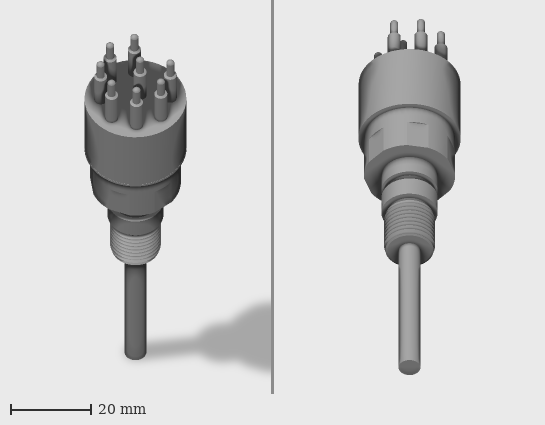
import cadquery as cq
import math

THREAD_END_Z = 40.0
LAST_CREST_Z = 40.2
FIRST_CREST_Z = 51.6
COLLAR_BOTTOM_Z = 52.8
GROOVE_BOTTOM_Z = 58.1
GROOVE_TOP_Z = 60.4
BODY_BOTTOM_Z = 65.4
FLATS_TOP_Z = 73.3
HEAD_BOTTOM_Z = 78.2
RIM_TOP_Z = 78.8
HEAD_TOP_Z = 96.9
PIN_SHOULDER_Z = 105.7
PIN_TIP_Z = 111.0

CABLE_DIAMETER = 5.4
THREAD_ROOT_DIAMETER = 11.0
THREAD_END_DIAMETER = 12.0
THREAD_CREST_DIAMETER = 12.7
GROOVE_DIAMETER = 11.3
COLLAR_DIAMETER = 14.0
BODY_DIAMETER = 22.6
HEAD_DIAMETER = 25.3
RIM_DIAMETER = 25.4

RIDGE_COUNT = 10
RIDGE_PITCH = (FIRST_CREST_Z - LAST_CREST_Z) / (RIDGE_COUNT - 1)

FLAT_COUNT = 6
FLAT_WIDTH = 5.4
FIRST_FLAT_ANGLE = 52.0

PIN_DIAMETER = 3.2
PIN_TIP_DIAMETER = 2.0
PIN_DOME_HEIGHT = 0.7
PIN_SHOULDER_HEIGHT = 0.3
PIN_CIRCLE_RADIUS = 8.7
PIN_CIRCLE_POSITIONS = 8
OFFSET_PIN_Y = 1.7


def cylinder(diameter, bottom_z, top_z):
    """Solid cylinder on the Z axis between two heights."""
    return cq.Workplane("XY").workplane(offset=bottom_z).circle(diameter / 2).extrude(top_z - bottom_z)


def make_thread():
    """Stack of V-shaped ridges; the first and last ridges are lower than the others."""
    root_radius = THREAD_ROOT_DIAMETER / 2
    profile = [(0, COLLAR_BOTTOM_Z), (root_radius, COLLAR_BOTTOM_Z)]
    for ridge in range(RIDGE_COUNT):
        is_end_ridge = ridge in (0, RIDGE_COUNT - 1)
        crest_diameter = THREAD_END_DIAMETER if is_end_ridge else THREAD_CREST_DIAMETER
        crest_z = FIRST_CREST_Z - ridge * RIDGE_PITCH
        profile.append((root_radius, crest_z + RIDGE_PITCH / 2))
        profile.append((crest_diameter / 2, crest_z))
    profile.append((root_radius, THREAD_END_Z))
    profile.append((0, THREAD_END_Z))
    return cq.Workplane("XZ").polyline(profile).close().revolve(360, (0, 0, 0), (0, 1, 0))


def make_body():
    """Cylinder with shallow flats around its lower part."""
    body = cylinder(BODY_DIAMETER, BODY_BOTTOM_Z, HEAD_BOTTOM_Z)
    body_radius = BODY_DIAMETER / 2
    flat_distance = math.sqrt(body_radius**2 - (FLAT_WIDTH / 2) ** 2)
    cutter = (
        cq.Workplane("XY")
        .box(body_radius, BODY_DIAMETER, FLATS_TOP_Z - BODY_BOTTOM_Z, centered=(False, True, False))
        .translate((flat_distance, 0, BODY_BOTTOM_Z))
    )
    for flat in range(FLAT_COUNT):
        angle = FIRST_FLAT_ANGLE + flat * 360 / FLAT_COUNT
        body = body.cut(cutter.rotate((0, 0, 0), (0, 0, 1), angle))
    return body


def make_pin():
    """Stepped round pin on the Z axis with a conical shoulder and a domed tip."""
    shank_radius = PIN_DIAMETER / 2
    tip_radius = PIN_TIP_DIAMETER / 2
    dome_base_z = PIN_TIP_Z - PIN_DOME_HEIGHT
    dome_radius = (tip_radius**2 + PIN_DOME_HEIGHT**2) / (2 * PIN_DOME_HEIGHT)
    half_angle = math.asin(tip_radius / dome_radius) / 2
    dome_centre_z = PIN_TIP_Z - dome_radius
    dome_middle = (dome_radius * math.sin(half_angle), dome_centre_z + dome_radius * math.cos(half_angle))
    return (
        cq.Workplane("XZ")
        .moveTo(0, HEAD_TOP_Z)
        .lineTo(shank_radius, HEAD_TOP_Z)
        .lineTo(shank_radius, PIN_SHOULDER_Z)
        .lineTo(tip_radius, PIN_SHOULDER_Z + PIN_SHOULDER_HEIGHT)
        .lineTo(tip_radius, dome_base_z)
        .threePointArc(dome_middle, (0, PIN_TIP_Z))
        .close()
        .revolve(360, (0, 0, 0), (0, 1, 0))
    )


def pin_positions():
    """Equal spacing around a circle, except that the +Y pin is moved in near the centre."""
    positions = [(0, OFFSET_PIN_Y)]
    for step in range(1, PIN_CIRCLE_POSITIONS):
        angle = math.radians(90 - step * 360 / PIN_CIRCLE_POSITIONS)
        positions.append((PIN_CIRCLE_RADIUS * math.cos(angle), PIN_CIRCLE_RADIUS * math.sin(angle)))
    return positions


result = (
    cylinder(CABLE_DIAMETER, 0, COLLAR_BOTTOM_Z)
    .union(make_thread())
    .union(cylinder(COLLAR_DIAMETER, COLLAR_BOTTOM_Z, GROOVE_BOTTOM_Z))
    .union(cylinder(GROOVE_DIAMETER, GROOVE_BOTTOM_Z, GROOVE_TOP_Z))
    .union(cylinder(COLLAR_DIAMETER, GROOVE_TOP_Z, BODY_BOTTOM_Z))
    .union(make_body())
    .union(cylinder(RIM_DIAMETER, HEAD_BOTTOM_Z, RIM_TOP_Z))
    .union(cylinder(HEAD_DIAMETER, RIM_TOP_Z, HEAD_TOP_Z))
)

pin = make_pin()
for pin_x, pin_y in pin_positions():
    result = result.union(pin.translate((pin_x, pin_y, 0)))